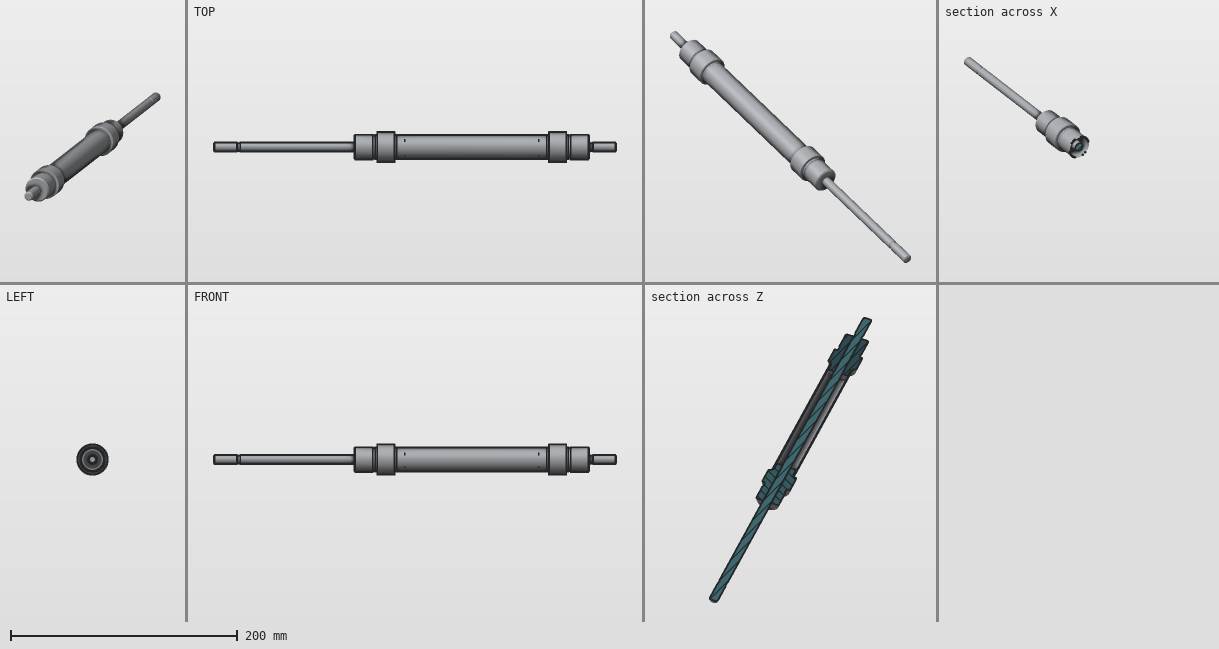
import cadquery as cq


rod_length = 355.0
rod_diameter = 8.0
rod_chamfer = 1.0
thread_length = 20.2
groove_width = 3.2
groove_diameter = 7.0
groove_taper_length = 1.0

nose_start = 124.0
cover_span = 207.3
nose_length = 16.5
nose_diameter = 22.0
nose_chamfer = 1.0
relief_length = 2.0
relief_diameter = 20.5
shoulder_length = 1.8
shoulder_diameter = 21.5
collar_length = 15.5
collar_diameter = 27.0
collar_chamfer = 0.55
spigot_length = 7.0

tube_diameter = 21.3
tube_bore = 19.0

cover_length = nose_length + relief_length + collar_length + 2 * shoulder_length
barrel_middle = nose_start + cover_span / 2
tube_start = nose_start + cover_length
tube_length = cover_span - 2 * cover_length


def cylinder(start, length, diameter):
    """Solid cylinder along X that begins at the given X position."""
    return cq.Workplane("YZ", origin=(start, 0, 0)).circle(diameter / 2).extrude(length)


def mirrored(body, plane_x):
    """Mirror image of a body about the plane X = plane_x."""
    return body.mirror("YZ", (plane_x, 0, 0))


def build_left_groove():
    """Ring removed behind the left thread: tapered on the thread side, square on the other."""
    outer_radius = rod_diameter / 2
    floor_radius = groove_diameter / 2
    groove_end = thread_length + groove_width
    section = cq.Workplane("XY").polyline([
        (thread_length, outer_radius),
        (thread_length + groove_taper_length, floor_radius),
        (groove_end, floor_radius),
        (groove_end, outer_radius),
    ]).close()
    return section.revolve(360, (0, 0, 0), (1, 0, 0))


def build_rod():
    """Through rod with chamfered tips and a thread run-out groove near each tip."""
    left_groove = build_left_groove()
    right_groove = mirrored(left_groove, rod_length / 2)
    rod = cylinder(0, rod_length, rod_diameter).edges().chamfer(rod_chamfer)
    return rod.cut(left_groove).cut(right_groove)


def build_left_cover():
    """End cover of stacked cylinders, bored for the rod, with a chamfered nose and collar."""
    cover = cylinder(nose_start, nose_length, nose_diameter).faces("<X").edges().chamfer(nose_chamfer)
    sections = [
        (relief_length, relief_diameter, 0),
        (shoulder_length, shoulder_diameter, 0),
        (collar_length, collar_diameter, collar_chamfer),
        (shoulder_length, shoulder_diameter, 0),
        (spigot_length, tube_bore, 0),
    ]
    section_start = nose_start + nose_length
    for length, diameter, inner_chamfer in sections:
        section = cylinder(section_start, length, diameter)
        if inner_chamfer > 0:
            section = section.faces(">X").edges().chamfer(inner_chamfer)
        cover = cover.union(section)
        section_start += length
    return cover.cut(cylinder(0, rod_length, rod_diameter))


def build_tube():
    """Plain barrel tube between the two end covers."""
    outside = cylinder(tube_start, tube_length, tube_diameter)
    return outside.cut(cylinder(tube_start, tube_length, tube_bore))


rod = build_rod()
left_cover = build_left_cover()
right_cover = mirrored(left_cover, barrel_middle)
tube = build_tube()

result = cq.Compound.makeCompound([rod.val(), left_cover.val(), right_cover.val(), tube.val()])